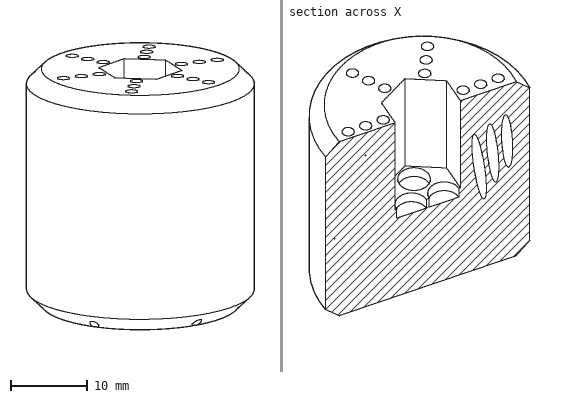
import cadquery as cq
import math

HEIGHT = 32.0
BODY_DIAMETER = 30.0
CHAMFER = 2.0

HEX_ACROSS_FLATS = 9.55
HEX_DEPTH = 16.0
POCKET_COUNT = 3
POCKET_DIAMETER = 4.3
POCKET_CIRCLE_RADIUS = 2.75
POCKET_DEPTH = 1.6
FIRST_POCKET_ANGLE = 180.0

ROW_COUNT = 6
ROW_STEP = 360.0 / ROW_COUNT
FIRST_ROW_ANGLE = ROW_STEP / 2
CHANNELS_PER_ROW = 3

TOP_DIAMETER = 1.6
TOP_FIRST_DISTANCE = 5.95
TOP_PITCH = 2.55
TOP_SIDE_OFFSET = 0.22

BOTTOM_DIAMETER = 1.2
BOTTOM_FIRST_RADIUS = 10.35
BOTTOM_PITCH = 1.6
BOTTOM_TURN = -19.8


def make_body():
    body = cq.Workplane("XY").circle(BODY_DIAMETER / 2).extrude(HEIGHT)
    return body.faces("<Z or >Z").chamfer(CHAMFER)


def make_socket():
    corner_diameter = HEX_ACROSS_FLATS / math.cos(math.radians(30))
    floor = HEIGHT - HEX_DEPTH
    hexagon = (
        cq.Workplane("XY")
        .workplane(offset=floor)
        .polygon(6, corner_diameter)
        .extrude(HEX_DEPTH)
    )
    pockets = (
        cq.Workplane("XY")
        .workplane(offset=floor - POCKET_DEPTH)
        .polarArray(POCKET_CIRCLE_RADIUS, FIRST_POCKET_ANGLE, 360, POCKET_COUNT)
        .circle(POCKET_DIAMETER / 2)
        .extrude(POCKET_DEPTH)
    )
    return hexagon.union(pockets)


def make_channel(index):
    """Tapered channel of the row that runs along +X, counted outward from the axis."""
    top_x = TOP_FIRST_DISTANCE + index * TOP_PITCH
    bottom_radius = BOTTOM_FIRST_RADIUS + index * BOTTOM_PITCH
    bottom_x = bottom_radius * math.cos(math.radians(BOTTOM_TURN))
    bottom_y = bottom_radius * math.sin(math.radians(BOTTOM_TURN))
    return (
        cq.Workplane("XY")
        .center(bottom_x, bottom_y)
        .circle(BOTTOM_DIAMETER / 2)
        .workplane(offset=HEIGHT)
        .center(top_x - bottom_x, TOP_SIDE_OFFSET - bottom_y)
        .circle(TOP_DIAMETER / 2)
        .loft(ruled=True)
    )


result = make_body().cut(make_socket())
for index in range(CHANNELS_PER_ROW):
    channel = make_channel(index)
    for row in range(ROW_COUNT):
        row_angle = FIRST_ROW_ANGLE + row * ROW_STEP
        result = result.cut(channel.rotate((0, 0, 0), (0, 0, 1), row_angle))